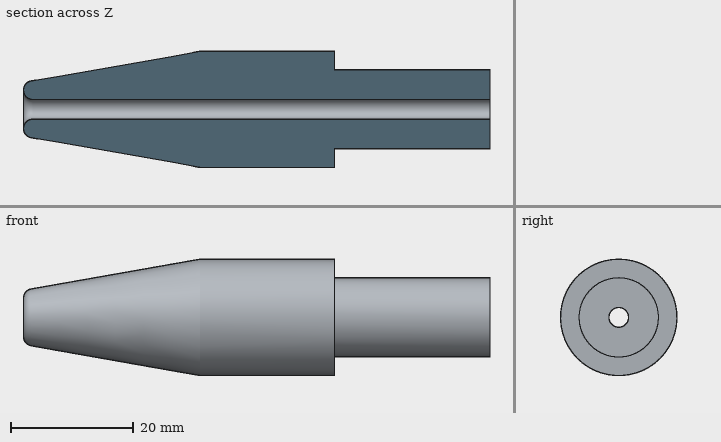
import cadquery as cq
import math

total_length = 76.2
shank_length = 25.4
body_diameter = 19.05
shank_diameter = 12.95
bore_diameter = 3.175
nose_radius = 1.55
taper_half_angle = math.radians(10)

body_radius = body_diameter / 2
shank_radius = shank_diameter / 2
bore_radius = bore_diameter / 2
shoulder_x = total_length - shank_length

nose_center_x = nose_radius
nose_center_radius = bore_radius + nose_radius
taper_start_x = nose_center_x - nose_radius * math.sin(taper_half_angle)
taper_start_radius = nose_center_radius + nose_radius * math.cos(taper_half_angle)
taper_end_x = taper_start_x + (body_radius - taper_start_radius) / math.tan(taper_half_angle)


def turned_profile():
    """Half section from the bore wall to the outer surface."""
    return (
        cq.Workplane("XZ")
        .moveTo(nose_center_x, bore_radius)
        .threePointArc((0, nose_center_radius), (taper_start_x, taper_start_radius))
        .lineTo(taper_end_x, body_radius)
        .lineTo(shoulder_x, body_radius)
        .lineTo(shoulder_x, shank_radius)
        .lineTo(total_length, shank_radius)
        .lineTo(total_length, bore_radius)
        .close()
    )


result = turned_profile().revolve(360, (0, 0, 0), (1, 0, 0))